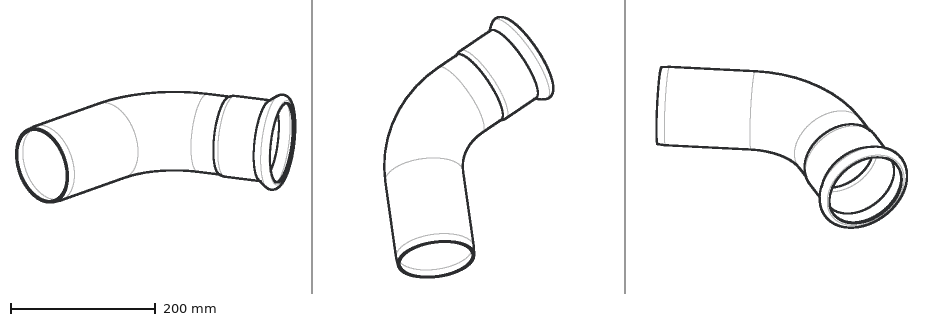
import cadquery as cq
import math

tube_radius = 109.0 / 2
wall = 2.5
bend_radius = 129.0
bend_angle = 60

spigot_length = 130.0
taper_length = 11.0
taper_drop = 1.0

step_start = 32.5
step_length = 7.0
socket_radius = 113.0 / 2
socket_length = 52.0
flare_length = 13.2
lip_length = 10.0
mouth_radius = 110.5 / 2
bead_radius = 132.5 / 2
lip_round = 7.5
flare_bulge = 0.7

step_end = step_start + step_length
flare_start = step_end + socket_length
flare_end = flare_start + flare_length
mouth = flare_end + lip_length

bead_x = mouth - lip_round
bead_y = bead_radius - lip_round


def revolve_about_x(profile):
    return profile.close().revolve(360, (0, 0, 0), (1, 0, 0))


def bead_point(x, round_radius):
    """Point on the outward side of the bead circle at axial station x."""
    return (x, bead_y + math.sqrt(round_radius ** 2 - (x - bead_x) ** 2))


def socket_body(inset):
    """Solid of revolution for the socket leg, with its walls moved inward by inset."""
    bead_round = lip_round - inset
    step_radius = socket_radius - inset
    flare_top = bead_point(flare_end + inset / 2, bead_round)
    flare_foot = (flare_start + inset / 2, step_radius)
    run = flare_top[0] - flare_foot[0]
    rise = flare_top[1] - flare_foot[1]
    chord = math.hypot(run, rise)
    flare_middle = (
        (flare_foot[0] + flare_top[0]) / 2 - flare_bulge * rise / chord,
        (flare_foot[1] + flare_top[1]) / 2 + flare_bulge * run / chord,
    )
    diagonal = bead_round * math.sqrt(0.5)
    profile = (
        cq.Workplane("XY")
        .lineTo(0, tube_radius - inset)
        .lineTo(step_start, tube_radius - inset)
    )
    step_rise = socket_radius - tube_radius
    step_round = (step_length ** 2 + step_rise ** 2) / (2 * step_rise)
    half_step = step_length / 2
    half_drop = step_round - math.sqrt(step_round ** 2 - half_step ** 2)
    profile = (
        profile.threePointArc((step_end - half_step, step_radius - half_drop), (step_end, step_radius))
        .lineTo(*flare_foot)
        .threePointArc(flare_middle, flare_top)
        .threePointArc((bead_x + diagonal, bead_y + diagonal), (mouth - inset, bead_y))
        .lineTo(mouth - inset, 0)
    )
    return revolve_about_x(profile)


def socket_leg():
    opening = cq.Workplane("YZ").workplane(offset=bead_x).circle(mouth_radius).extrude(lip_round)
    return socket_body(0).cut(socket_body(wall)).cut(opening)


def bend():
    ring = cq.Workplane("YZ").circle(tube_radius).circle(tube_radius - wall)
    return ring.revolve(bend_angle, (-bend_radius, 0, 0), (-bend_radius, 1, 0))


def spigot_leg():
    taper_start = spigot_length - taper_length
    inner_radius = tube_radius - wall
    leg = revolve_about_x(
        cq.Workplane("XY")
        .moveTo(0, inner_radius)
        .lineTo(0, tube_radius)
        .lineTo(taper_start, tube_radius)
        .lineTo(spigot_length, tube_radius - taper_drop)
        .lineTo(spigot_length, inner_radius - taper_drop)
        .lineTo(taper_start, inner_radius)
    )
    angle = math.radians(bend_angle)
    bend_end = (-bend_radius * math.sin(angle), -bend_radius * (1 - math.cos(angle)), 0)
    return leg.rotate((0, 0, 0), (0, 0, 1), 180 + bend_angle).translate(bend_end)


result = socket_leg().union(bend()).union(spigot_leg())